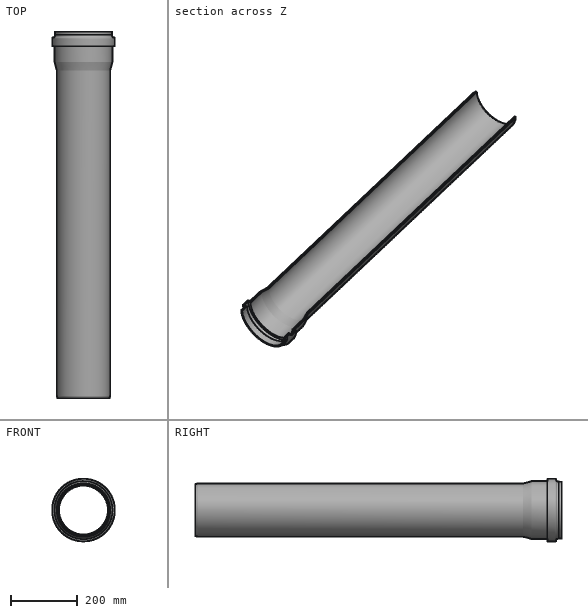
import cadquery as cq
import math

total_length = 1095.0
pipe_diameter = 160.0
bore_diameter = 145.8

spigot_tip_diameter = 155.0
spigot_chamfer_length = 8.0

socket_diameter = 173.8
bead_diameter = 188.1
lip_diameter = 170.4
collar_diameter = 171.8

socket_bore_diameter = 160.6
mouth_bore_diameter = 161.0
seal_groove_diameter = 178.7

lip_length = 9.8
collar_end_depth = 12.0
bead_end_depth = 43.5
socket_end_depth = 90.0
taper_end_depth = 116.0

bead_edge_radius = 3.0
bead_wall = (bead_diameter - seal_groove_diameter) / 2

bead_root_radius = (bead_diameter - collar_diameter) / 2 - bead_edge_radius
bead_face_depth = collar_end_depth + bead_root_radius
bead_crown_start_depth = bead_face_depth + bead_edge_radius
bead_crown_end_depth = bead_end_depth - bead_edge_radius

spigot_y = -total_length / 2
mouth_y = total_length / 2

diagonal = math.sqrt(0.5)


def ring_point(diameter, depth):
    """Profile point at a diameter and a distance from the socket mouth."""
    return (diameter / 2, mouth_y - depth)


def revolve_about_y(profile):
    """Solid of revolution about the pipe axis from a closed half profile."""
    return profile.revolve(360, (0, 0, 0), (0, 1, 0))


def round_middle(center_diameter, center_depth, radius, outward, deeper):
    """Middle of a quarter round; outward and deeper are +1 or -1 and pick the quarter."""
    offset = radius * diagonal
    return ring_point(center_diameter + 2 * outward * offset, center_depth + deeper * offset)


def pipe_body():
    """Solid envelope: spigot, barrel, taper, socket, rounded bead, collar and lip."""
    edge_center_diameter = bead_diameter - 2 * bead_edge_radius
    root_center_diameter = collar_diameter + 2 * bead_root_radius
    profile = (
        cq.Workplane("XY")
        .moveTo(0, spigot_y)
        .lineTo(spigot_tip_diameter / 2, spigot_y)
        .lineTo(pipe_diameter / 2, spigot_y + spigot_chamfer_length)
        .lineTo(*ring_point(pipe_diameter, taper_end_depth))
        .lineTo(*ring_point(socket_diameter, socket_end_depth))
        .lineTo(*ring_point(socket_diameter, bead_end_depth))
        .lineTo(*ring_point(edge_center_diameter, bead_end_depth))
        .threePointArc(
            round_middle(edge_center_diameter, bead_crown_end_depth, bead_edge_radius, 1, 1),
            ring_point(bead_diameter, bead_crown_end_depth),
        )
        .lineTo(*ring_point(bead_diameter, bead_crown_start_depth))
        .threePointArc(
            round_middle(edge_center_diameter, bead_crown_start_depth, bead_edge_radius, 1, -1),
            ring_point(edge_center_diameter, bead_face_depth),
        )
        .threePointArc(
            round_middle(root_center_diameter, collar_end_depth, bead_root_radius, -1, 1),
            ring_point(collar_diameter, collar_end_depth),
        )
        .lineTo(*ring_point(collar_diameter, lip_length))
        .lineTo(*ring_point(lip_diameter, lip_length))
        .lineTo(*ring_point(lip_diameter, 0))
        .lineTo(0, mouth_y)
        .close()
    )
    return revolve_about_y(profile)


def inner_passage():
    """Hollow: bore, inner taper, socket bore, square seal groove and mouth."""
    groove_start_depth = bead_face_depth + bead_wall
    groove_end_depth = bead_end_depth - bead_wall
    profile = (
        cq.Workplane("XY")
        .moveTo(0, spigot_y)
        .lineTo(bore_diameter / 2, spigot_y)
        .lineTo(*ring_point(bore_diameter, taper_end_depth))
        .lineTo(*ring_point(socket_bore_diameter, socket_end_depth))
        .lineTo(*ring_point(socket_bore_diameter, groove_end_depth))
        .lineTo(*ring_point(seal_groove_diameter, groove_end_depth))
        .lineTo(*ring_point(seal_groove_diameter, groove_start_depth))
        .lineTo(*ring_point(mouth_bore_diameter, groove_start_depth))
        .lineTo(*ring_point(mouth_bore_diameter, 0))
        .lineTo(0, mouth_y)
        .close()
    )
    return revolve_about_y(profile)


result = pipe_body().cut(inner_passage())